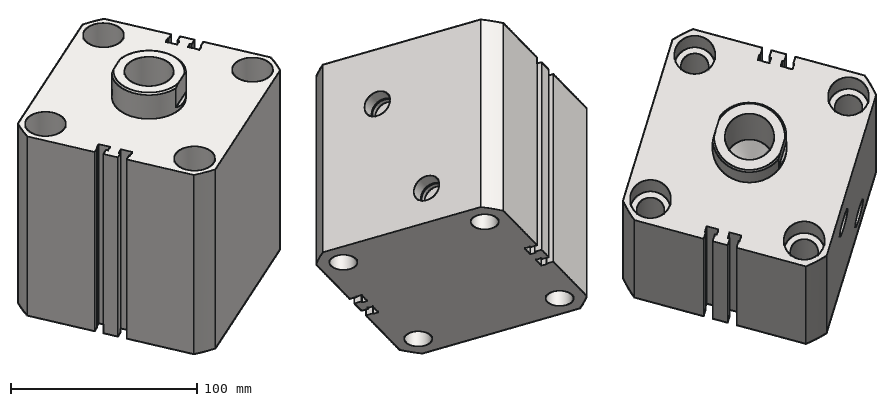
import cadquery as cq
import math

HOUSING_SIZE = 114.0
HOUSING_HEIGHT = 120.0
CORNER_SETBACK = 9.0

MOUNT_PITCH = 86.0
MOUNT_HOLE_DIAMETER = 15.0
MOUNT_COUNTERBORE_DIAMETER = 22.0
MOUNT_COUNTERBORE_DEPTH = 18.0

GROOVE_NECK_SPACING = 13.4
GROOVE_FOOT_SPACING = 12.8
GROOVE_NECK_WIDTH = 5.0
GROOVE_NECK_DEPTH = 4.2
GROOVE_DEPTH = 7.4
GROOVE_FOOT_WIDTH = 6.6

PORT_OFFSET = 15.0
UPPER_PORT_HEIGHT = 85.0
LOWER_PORT_HEIGHT = 22.0
PORT_DIAMETER = 15.5
PORT_INNER_DIAMETER = 14.2
PORT_STEP_DEPTH = 8.0
PORT_DEPTH = 11.0

ROD_DIAMETER = 40.0
ROD_PROJECTION = 17.0
ROD_INSERTION = 40.0
ROD_CHAMFER = 1.0
ROD_BORE_DIAMETER = 26.5
ROD_BORE_DEPTH = 40.0
ROD_BORE_TIP_ANGLE = 118.0

FLATS_ACROSS = 37.0
FLAT_START = 3.2

half_size = HOUSING_SIZE / 2
rod_radius = ROD_DIAMETER / 2
rod_top = HOUSING_HEIGHT + ROD_PROJECTION
rod_bottom = HOUSING_HEIGHT - ROD_INSERTION


def housing_block():
    """Square prism whose corners are turned to one cylinder about the Z axis."""
    corner_radius = math.hypot(half_size, half_size - CORNER_SETBACK)
    square = cq.Workplane("XY").rect(HOUSING_SIZE, HOUSING_SIZE).extrude(HOUSING_HEIGHT)
    turned = cq.Workplane("XY").circle(corner_radius).extrude(HOUSING_HEIGHT)
    return square.intersect(turned)


def mounting_holes():
    """Four through holes, counterbored from the top."""
    def corner_cylinders(diameter, bottom):
        return (
            cq.Workplane("XY", origin=(0, 0, bottom))
            .rect(MOUNT_PITCH, MOUNT_PITCH, forConstruction=True)
            .vertices()
            .circle(diameter / 2)
            .extrude(HOUSING_HEIGHT - bottom)
        )

    counterbore_floor = HOUSING_HEIGHT - MOUNT_COUNTERBORE_DEPTH
    through = corner_cylinders(MOUNT_HOLE_DIAMETER, 0)
    return through.union(corner_cylinders(MOUNT_COUNTERBORE_DIAMETER, counterbore_floor))


def sensor_groove(hand, side):
    """Full-height T-groove on the +X (hand = 1) or -X (hand = -1) half of the +Y (side = 1) or -Y face."""
    foot_depth = GROOVE_DEPTH - GROOVE_NECK_DEPTH
    foot_y = half_size - GROOVE_NECK_DEPTH - foot_depth / 2
    neck = (
        cq.Workplane("XY")
        .center(hand * GROOVE_NECK_SPACING / 2, side * (half_size - GROOVE_NECK_DEPTH / 2))
        .rect(GROOVE_NECK_WIDTH, GROOVE_NECK_DEPTH)
        .extrude(HOUSING_HEIGHT)
    )
    foot = (
        cq.Workplane("XY")
        .center(hand * GROOVE_FOOT_SPACING / 2, side * foot_y)
        .rect(GROOVE_FOOT_WIDTH, foot_depth)
        .extrude(HOUSING_HEIGHT)
    )
    return neck.union(foot)


def air_port(y, z):
    """Blind stepped hole running in +X from the -X face."""
    mouth = cq.Workplane("YZ", origin=(-half_size, y, z))
    outer = mouth.circle(PORT_DIAMETER / 2).extrude(PORT_STEP_DEPTH)
    inner = mouth.circle(PORT_INNER_DIAMETER / 2).extrude(PORT_DEPTH)
    return outer.union(inner)


def make_housing():
    body = housing_block().cut(mounting_holes())
    for side in (-1, 1):
        for hand in (-1, 1):
            body = body.cut(sensor_groove(hand, side))
    body = body.cut(air_port(PORT_OFFSET, UPPER_PORT_HEIGHT))
    body = body.cut(air_port(-PORT_OFFSET, LOWER_PORT_HEIGHT))
    rod_pocket = cq.Workplane("XY", origin=(0, 0, rod_bottom)).circle(rod_radius).extrude(ROD_INSERTION)
    return body.cut(rod_pocket)


def rod_bore():
    """Blind bore in the rod's top end with a conical drill tip."""
    bore_radius = ROD_BORE_DIAMETER / 2
    tip_length = bore_radius / math.tan(math.radians(ROD_BORE_TIP_ANGLE / 2))
    bore_floor = rod_top - ROD_BORE_DEPTH
    return (
        cq.Workplane("XZ")
        .moveTo(0, rod_top)
        .lineTo(bore_radius, rod_top)
        .lineTo(bore_radius, bore_floor)
        .lineTo(0, bore_floor - tip_length)
        .close()
        .revolve(360, (0, 0, 0), (0, 1, 0))
    )


def wrench_flat(side):
    """Material removed for one flat, running out of the rod on a 45 degree ramp."""
    flat_x = FLATS_ACROSS / 2
    flat_depth = rod_radius - flat_x
    flat_bottom = HOUSING_HEIGHT + FLAT_START
    return (
        cq.Workplane("XZ")
        .moveTo(side * flat_x, rod_top)
        .lineTo(side * flat_x, flat_bottom)
        .lineTo(side * rod_radius, flat_bottom - flat_depth)
        .lineTo(side * rod_radius, rod_top)
        .close()
        .extrude(rod_radius, both=True)
    )


def make_rod():
    rod = (
        cq.Workplane("XY", origin=(0, 0, rod_bottom))
        .circle(rod_radius)
        .extrude(rod_top - rod_bottom)
        .faces(">Z")
        .chamfer(ROD_CHAMFER)
        .cut(rod_bore())
    )
    for side in (-1, 1):
        rod = rod.cut(wrench_flat(side))
    return rod


housing = make_housing()
piston_rod = make_rod()

result = cq.Compound.makeCompound([housing.val(), piston_rod.val()])